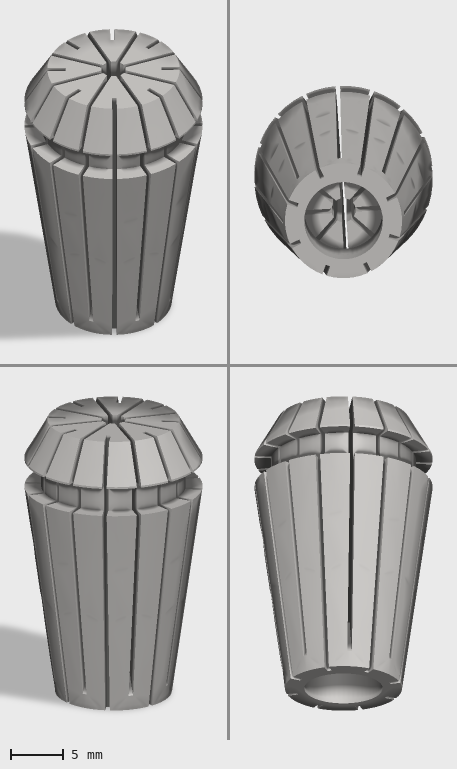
import cadquery as cq
import math

length = 27.5
outer_radius = 8.5
body_height = 20.75
body_half_angle = 8.0
groove_radius = 6.9
groove_width = 2.75
rim_height = 0.2
nose_half_angle = 30.0

bore_radius = 1.15
relief_radius = 3.75
relief_depth = 5.28

slot_width = 0.45
slots_per_set = 8
slot_spacing = 360 / slots_per_set
slot_floor_height = 1.48
floor_hollow = 0.095
short_slot_inner_radius = 4.6
cut_margin = 1.38

body_slope = math.tan(math.radians(body_half_angle))
small_end_radius = outer_radius - body_height * body_slope
rim_bottom = body_height + groove_width
rim_top = rim_bottom + rim_height
nose_radius = outer_radius - (length - rim_top) * math.tan(math.radians(nose_half_angle))


def make_blank():
    """Tapered body, nut groove and nose cone, revolved as one solid."""
    return (
        cq.Workplane("XZ")
        .polyline([
            (0, 0),
            (small_end_radius, 0),
            (outer_radius, body_height),
            (groove_radius, body_height),
            (groove_radius, rim_bottom),
            (outer_radius, rim_bottom),
            (outer_radius, rim_top),
            (nose_radius, length),
            (0, length),
        ])
        .close()
        .revolve(360, (0, 0), (0, 1))
    )


def make_bore():
    """Through bore with the wider relief at the small end."""
    bore = cq.Workplane("XY").circle(bore_radius).extrude(length)
    relief = cq.Workplane("XY").circle(relief_radius).extrude(relief_depth)
    return bore.union(relief)


def make_long_slot():
    """Slot from the nose into the bore; its floor is a shallow hollow arc sinking to the outer surface."""
    floor_outer_radius = small_end_radius + slot_floor_height * body_slope
    floor_run = floor_outer_radius - relief_radius
    floor_rise = relief_depth - slot_floor_height
    floor_length = math.hypot(floor_run, floor_rise)
    floor_middle = (
        relief_radius + floor_run / 2 - floor_hollow * floor_rise / floor_length,
        slot_floor_height + floor_rise / 2 - floor_hollow * floor_run / floor_length,
    )
    reach = outer_radius + cut_margin
    return (
        cq.Workplane("XZ")
        .moveTo(0, relief_depth)
        .lineTo(relief_radius, relief_depth)
        .threePointArc(floor_middle, (floor_outer_radius, slot_floor_height))
        .lineTo(reach, slot_floor_height)
        .lineTo(reach, length)
        .lineTo(0, length)
        .close()
        .extrude(slot_width / 2, both=True)
    )


def make_short_slot():
    """Full-height slot that stops short of the bore."""
    slot_depth = outer_radius + cut_margin - short_slot_inner_radius
    return (
        cq.Workplane("XY")
        .center(short_slot_inner_radius + slot_depth / 2, 0)
        .rect(slot_depth, slot_width)
        .extrude(length)
    )


result = make_blank().cut(make_bore())
long_slot = make_long_slot()
short_slot = make_short_slot()
for index in range(slots_per_set):
    angle = index * slot_spacing
    result = result.cut(long_slot.rotate((0, 0, 0), (0, 0, 1), angle))
    result = result.cut(short_slot.rotate((0, 0, 0), (0, 0, 1), angle + slot_spacing / 2))